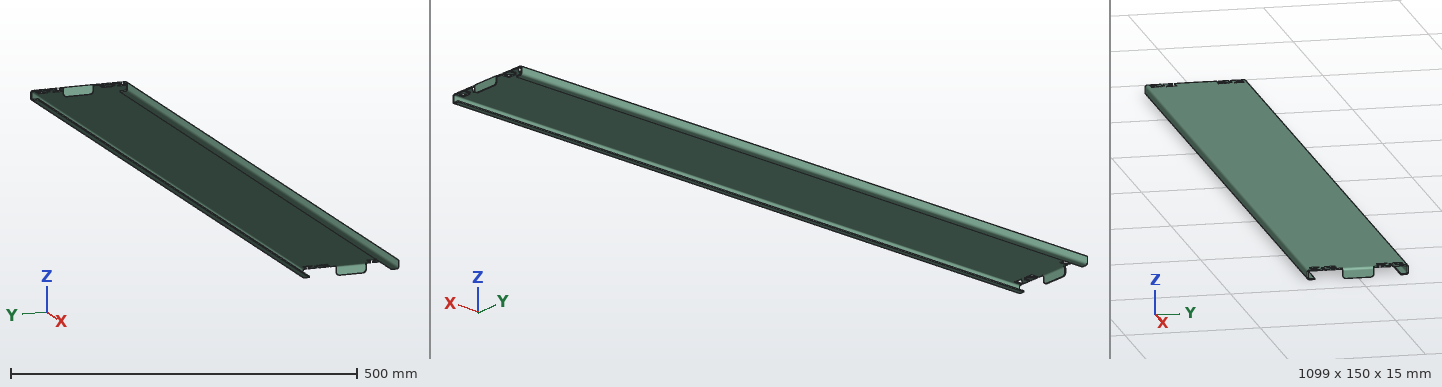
import cadquery as cq

overall_length = 1099.0
width = 150.0
height = 15.0

sheet = 2.0
bend_radius = 4.0
lip_width = 11.5

tab_width = 46.0
tab_corner_radius = 5.0
plate_length = overall_length - 2 * bend_radius

notch_depth = 14.0
notch_inner_y = 31.0
notch_outer_y = 68.0
hook_center_y = 50.0
hook_root_width = 8.0
hook_tip_width = 32.0
slot_width = 3.0
slot_length = 10.0


def rounded_bar(bar_width, bar_height, corner_radius):
    """Bar along X with rounded long edges, centered on the channel section."""
    return (
        cq.Workplane("YZ", origin=(0, 0, height / 2))
        .rect(bar_width, bar_height)
        .extrude(plate_length / 2, both=True)
        .edges("|X")
        .fillet(corner_radius)
    )


def channel():
    """Folded plate: flat top, two side flanges and inward return lips."""
    outer = rounded_bar(width, height, bend_radius)
    inner = rounded_bar(width - 2 * sheet, height - 2 * sheet, bend_radius - sheet)
    lip_gap = cq.Workplane("XY").box(plate_length, width - 2 * lip_width, 2 * sheet)
    return outer.cut(inner).cut(lip_gap)


def notch_cutter():
    """Material removed around and inside one hook, at the +X end on the +Y side."""
    end_x = plate_length / 2
    root_x = end_x - notch_depth
    sketch_plane = cq.Workplane("XY", origin=(0, 0, height - sheet))
    notch = (
        sketch_plane.moveTo(root_x, notch_inner_y)
        .lineTo(end_x, notch_inner_y)
        .lineTo(end_x, notch_outer_y)
        .lineTo(root_x, notch_outer_y)
        .close()
        .extrude(sheet)
    )
    hook = (
        sketch_plane.moveTo(root_x, hook_center_y - hook_root_width / 2)
        .lineTo(end_x, hook_center_y - hook_tip_width / 2)
        .lineTo(end_x, hook_center_y + hook_tip_width / 2)
        .lineTo(root_x, hook_center_y + hook_root_width / 2)
        .close()
        .extrude(sheet)
    )
    slot = (
        sketch_plane.center(end_x - slot_length / 2, hook_center_y)
        .rect(slot_length, slot_width)
        .extrude(sheet)
    )
    return notch.cut(hook).union(slot)


def end_tab():
    """Tab folded down from the +X end of the plate."""
    fold_x = plate_length / 2
    outer_x = overall_length / 2
    inner_x = outer_x - sheet
    fold_z = height - bend_radius
    section = (
        cq.Workplane("XZ")
        .moveTo(fold_x, height)
        .radiusArc((outer_x, fold_z), bend_radius)
        .lineTo(outer_x, 0)
        .lineTo(inner_x, 0)
        .lineTo(inner_x, fold_z)
        .radiusArc((fold_x, height - sheet), sheet - bend_radius)
        .close()
    )
    tab = section.extrude(tab_width / 2, both=True)
    return tab.faces("<Z").edges("|X").fillet(tab_corner_radius)


cutter = notch_cutter()
end_cutters = cutter.union(cutter.mirror("XZ"))
tab = end_tab()

result = channel().cut(end_cutters).cut(end_cutters.mirror("YZ"))
result = result.union(tab).union(tab.mirror("YZ"))